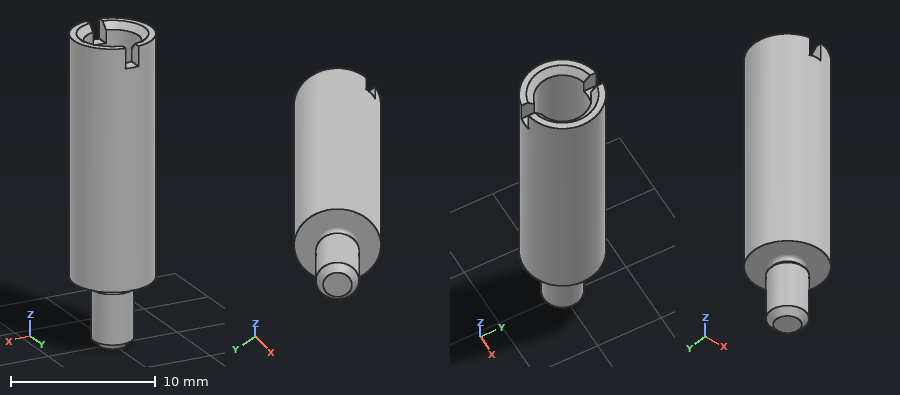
import cadquery as cq
import math

total_length = 23.0
body_diameter = 6.0
stud_length = 5.0
stud_diameter = 3.0
tip_chamfer = 0.5
neck_diameter = 2.4
neck_length = 0.74
neck_fillet = 0.3
neck_taper_length = 0.35
bore_diameter = 4.0
bore_depth = 10.0
bore_mouth_diameter = 5.0
drill_point_angle = 118.0
slot_width = 1.0
slot_depth = 1.5

body_radius = body_diameter / 2
stud_radius = stud_diameter / 2
neck_radius = neck_diameter / 2
bore_radius = bore_diameter / 2
mouth_radius = bore_mouth_diameter / 2
mouth_chamfer = mouth_radius - bore_radius
drill_point_length = bore_radius / math.tan(math.radians(drill_point_angle / 2))
neck_bottom = stud_length - neck_length
arc_offset = neck_fillet * (1 - math.sqrt(0.5))


def make_pillar():
    """Body and undercut stud, revolved about Z."""
    return (
        cq.Workplane("XZ")
        .lineTo(stud_radius - tip_chamfer, 0)
        .lineTo(stud_radius, tip_chamfer)
        .lineTo(stud_radius, neck_bottom)
        .lineTo(neck_radius, neck_bottom + neck_taper_length)
        .lineTo(neck_radius, stud_length - neck_fillet)
        .threePointArc(
            (neck_radius + arc_offset, stud_length - arc_offset),
            (neck_radius + neck_fillet, stud_length),
        )
        .lineTo(body_radius, stud_length)
        .lineTo(body_radius, total_length)
        .lineTo(0, total_length)
        .close()
        .revolve(360, (0, 0, 0), (0, 1, 0))
    )


def make_bore():
    """Blind drilled hole with a conical bottom and a countersunk mouth."""
    bore_bottom = total_length - bore_depth
    return (
        cq.Workplane("XZ")
        .moveTo(0, bore_bottom - drill_point_length)
        .lineTo(bore_radius, bore_bottom)
        .lineTo(bore_radius, total_length - mouth_chamfer)
        .lineTo(mouth_radius, total_length)
        .lineTo(0, total_length)
        .close()
        .revolve(360, (0, 0, 0), (0, 1, 0))
    )


def make_slot():
    """Screwdriver slot across the top face, running along Y."""
    return (
        cq.Workplane("XY")
        .workplane(offset=total_length - slot_depth)
        .rect(slot_width, body_diameter * 2)
        .extrude(slot_depth)
    )


result = make_pillar().cut(make_bore()).cut(make_slot())